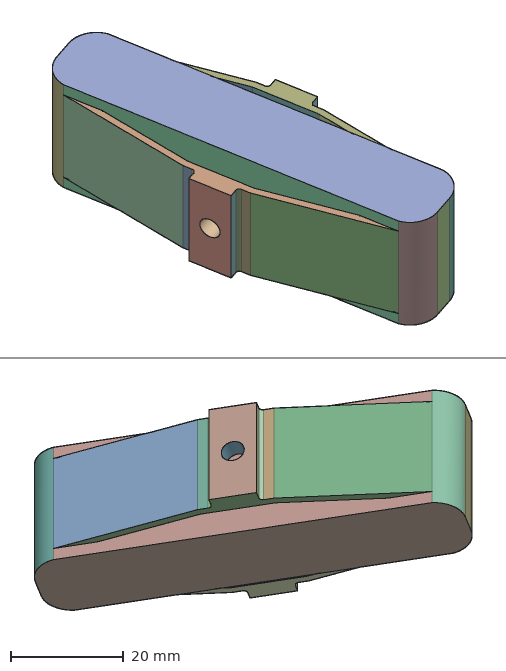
import cadquery as cq
import math

length = 78.8
core_width = 15.45
height = 25.0
arc_end_x = 34.7

overall_width = 30.0
strap_height = 20.0
strap_thickness = 1.4
bend_x = 7.0

pad_width = 8.75
pad_step = 2.4
pad_fillet = 0.7
hole_diameter = 4.2

half_length = length / 2
half_core = core_width / 2
pad_y = overall_width / 2
strap_y = pad_y - pad_step
strap_inner_y = strap_y - strap_thickness

strap_angle = math.atan2(strap_y - half_core, arc_end_x - bend_x)

corner_radius = (half_length - arc_end_x) / (1 - math.sin(strap_angle))
corner_x = half_length - corner_radius
corner_y = half_core - corner_radius * math.cos(strap_angle)


def corner_point(angle, x_side, y_side):
    x = corner_x + corner_radius * math.cos(angle)
    y = corner_y + corner_radius * math.sin(angle)
    return (x_side * x, y_side * y)


def make_core():
    middle = (math.pi / 2 - strap_angle) / 2
    outline = (
        cq.Workplane("XY")
        .moveTo(-arc_end_x, half_core)
        .lineTo(arc_end_x, half_core)
        .threePointArc(corner_point(middle, 1, 1), (half_length, corner_y))
        .lineTo(half_length, -corner_y)
        .threePointArc(corner_point(middle, 1, -1), (arc_end_x, -half_core))
        .lineTo(-arc_end_x, -half_core)
        .threePointArc(corner_point(middle, -1, -1), (-half_length, -corner_y))
        .lineTo(-half_length, corner_y)
        .threePointArc(corner_point(middle, -1, 1), (-arc_end_x, half_core))
        .close()
    )
    return outline.extrude(height / 2, both=True)


def make_strap():
    """Strap with its pad and hole on the +Y side."""
    inner_bend_x = bend_x - strap_thickness * math.tan(strap_angle / 2)
    inner_foot_x = inner_bend_x + (strap_inner_y - half_core) / math.tan(strap_angle)
    half_outline = [
        (inner_bend_x, strap_inner_y),
        (inner_foot_x, half_core),
        (arc_end_x, half_core),
        (bend_x, strap_y),
        (pad_width / 2, strap_y),
        (pad_width / 2, pad_y),
    ]
    mirrored = [(-x, y) for x, y in reversed(half_outline)]
    strap = (
        cq.Workplane("XY")
        .polyline(half_outline + mirrored)
        .close()
        .extrude(strap_height / 2, both=True)
    )

    for x in (-pad_width / 2, pad_width / 2):
        strap = strap.edges(cq.NearestToPointSelector((x, strap_y, 0))).fillet(pad_fillet)

    hole = (
        cq.Workplane("XZ", origin=(0, pad_y, 0))
        .circle(hole_diameter / 2)
        .extrude(pad_y - strap_inner_y)
    )
    return strap.cut(hole)


strap = make_strap()
result = make_core().union(strap).union(strap.mirror("XZ"))